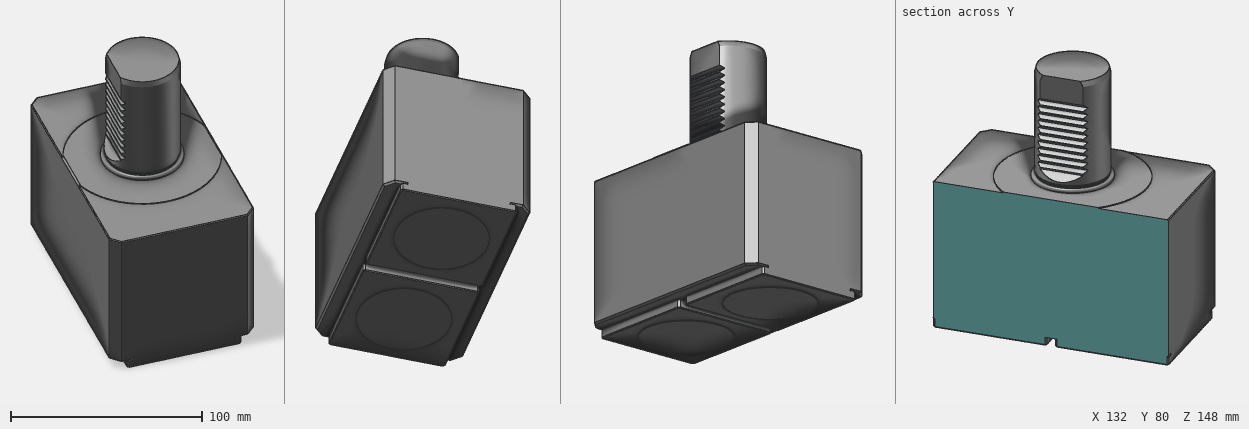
import cadquery as cq
import math

TOTAL_HEIGHT = 148.0
SHANK_LENGTH = 63.0
SEAT_TOP = TOTAL_HEIGHT - SHANK_LENGTH

BLOCK_X = 132.0
BLOCK_Y = 80.0
BLOCK_BOTTOM = 5.0
CORNER_CHAMFER = 5.0
EDGE_CHAMFER = 1.0

SEAT_DIAMETER = 82.9
SEAT_THICKNESS = 0.5
BLOCK_TOP = SEAT_TOP - SEAT_THICKNESS

SHANK_DIAMETER = 40.0
SHANK_RADIUS = SHANK_DIAMETER / 2
TIP_TAPER_LENGTH = 3.1
TIP_TAPER_ANGLE = 15.0
FOOT_TAPER_LENGTH = 1.5
FOOT_TAPER_DEPTH = 0.7
NECK_RADIUS = SHANK_RADIUS - FOOT_TAPER_DEPTH

RING_OUTER_DIAMETER = 44.0
RING_SECTION_DIAMETER = 3.0
RING_TOP = SEAT_TOP + 2.2

FLAT_OFFSET = 16.0
FLAT_LENGTH = 54.0
TOOTH_COUNT = 10
TOOTH_PITCH = 4.0
TOOTH_DEPTH = 1.8
FIRST_GROOVE_DEPTH = 15.4

PAD_X = 63.6
PAD_Y = 63.3
PAD_CORNER_CHAMFER = 1.0
PAD_EDGE_CHAMFER = 0.5
DISC_DIAMETER = 50.0
DISC_THICKNESS = 0.5
TONGUE_Y = 56.0
TONGUE_TOP = 8.1
PAD_CENTER_X = (BLOCK_X - PAD_X) / 2


def make_block():
    """Chamfered block whose top is lowered around the round seat."""
    envelope = (
        cq.Workplane("XY", origin=(0, 0, BLOCK_BOTTOM))
        .rect(BLOCK_X, BLOCK_Y)
        .extrude(SEAT_TOP - BLOCK_BOTTOM)
        .edges("|Z")
        .chamfer(CORNER_CHAMFER)
    )
    envelope = envelope.faces(">Z").edges().chamfer(EDGE_CHAMFER)
    envelope = envelope.faces("<Z").edges().chamfer(EDGE_CHAMFER)
    slab = cq.Workplane("XY").rect(BLOCK_X, BLOCK_Y).extrude(BLOCK_TOP)
    seat = cq.Workplane("XY").circle(SEAT_DIAMETER / 2).extrude(SEAT_TOP)
    return envelope.intersect(slab.union(seat))


def make_shank():
    """Neck, tapered foot, cylinder and tapered tip, revolved about Z."""
    tip_radius = SHANK_RADIUS - TIP_TAPER_LENGTH * math.tan(math.radians(TIP_TAPER_ANGLE))
    profile = [
        (0, SEAT_TOP),
        (NECK_RADIUS, SEAT_TOP),
        (NECK_RADIUS, RING_TOP),
        (SHANK_RADIUS, RING_TOP + FOOT_TAPER_LENGTH),
        (SHANK_RADIUS, TOTAL_HEIGHT - TIP_TAPER_LENGTH),
        (tip_radius, TOTAL_HEIGHT),
        (0, TOTAL_HEIGHT),
    ]
    return cq.Workplane("XZ").polyline(profile).close().revolve(360, (0, 0, 0), (0, 1, 0))


def make_sealing_ring():
    """Round-section ring; the taper of the foot starts level with its top."""
    section_radius = RING_SECTION_DIAMETER / 2
    center_radius = RING_OUTER_DIAMETER / 2 - section_radius
    return (
        cq.Workplane("XZ")
        .center(center_radius, RING_TOP - section_radius)
        .circle(section_radius)
        .revolve(360, (-center_radius, 0, 0), (-center_radius, 1, 0))
    )


def make_tooth_cutter():
    """Flat with a 45 degree run-out and V grooves, extruded across the shank."""
    outside = SHANK_DIAMETER
    flat_end = TOTAL_HEIGHT - FLAT_LENGTH
    points = [(-outside, TOTAL_HEIGHT), (-FLAT_OFFSET, TOTAL_HEIGHT)]
    for i in range(TOOTH_COUNT):
        groove = TOTAL_HEIGHT - FIRST_GROOVE_DEPTH - i * TOOTH_PITCH
        points += [
            (-FLAT_OFFSET, groove + TOOTH_DEPTH),
            (-FLAT_OFFSET + TOOTH_DEPTH, groove),
            (-FLAT_OFFSET, groove - TOOTH_DEPTH),
        ]
    points += [(-FLAT_OFFSET, flat_end), (-outside, flat_end - (outside - FLAT_OFFSET))]
    return cq.Workplane("YZ").polyline(points).close().extrude(SHANK_RADIUS, both=True)


def make_pad(side):
    """Pad with its contact disc, and a tongue let into the block; side is -1 or +1 along X."""
    center_x = side * PAD_CENTER_X
    pad = (
        cq.Workplane("XY", origin=(center_x, 0, DISC_THICKNESS))
        .rect(PAD_X, PAD_Y)
        .extrude(BLOCK_BOTTOM - DISC_THICKNESS)
        .edges("|Z")
        .chamfer(PAD_CORNER_CHAMFER)
        .faces("<Z")
        .edges()
        .chamfer(PAD_EDGE_CHAMFER)
    )
    tongue = (
        cq.Workplane("XY", origin=(center_x, 0, BLOCK_BOTTOM))
        .rect(PAD_X, TONGUE_Y)
        .extrude(TONGUE_TOP - BLOCK_BOTTOM)
    )
    disc = cq.Workplane("XY", origin=(center_x, 0, 0)).circle(DISC_DIAMETER / 2).extrude(DISC_THICKNESS)
    return pad.union(tongue).union(disc)


shank = make_shank().cut(make_tooth_cutter())
result = make_block().union(shank).union(make_sealing_ring())
for side in (-1, 1):
    result = result.union(make_pad(side))